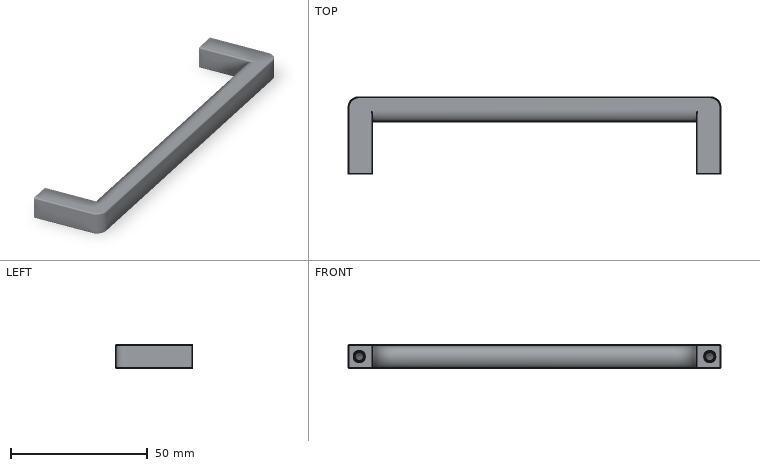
import cadquery as cq
import math

length = 136.0
depth = 28.0
height = 8.5
leg_width = 8.8
corner_radius = 4.0
edge_radius = 0.5

grip_radius = height / 2
grip_flat_depth = 4.8
inner_span = length - 2 * leg_width

hole_spacing = 128.0
hole_diameter = 3.3
hole_depth = 10.9
countersink_diameter = 4.2
drill_point_angle = 118
countersink_angle = 90

back_y = depth / 2
front_y = -depth / 2
grip_axis_y = back_y - grip_flat_depth


def make_frame():
    """U-shaped body with rounded back corners and a rounded outer rim."""
    block = cq.Workplane("XY").box(length, depth, height)
    block = block.edges("|Z and >Y").fillet(corner_radius)

    rim = block.faces("<Z or >Z").edges("not <Y")
    block = rim.fillet(edge_radius)

    opening_depth = depth - grip_flat_depth
    opening = cq.Workplane("XY").box(inner_span, opening_depth, height)
    frame = block.cut(opening.translate((0, front_y + opening_depth / 2, 0)))

    inner_leg_region = cq.selectors.BoxSelector(
        (-inner_span / 2 - edge_radius, front_y, -height),
        (inner_span / 2 + edge_radius, grip_axis_y, height),
    )
    return frame.edges("|Y").edges(inner_leg_region).fillet(edge_radius)


def make_round_front():
    """Half cylinder filling out the flat back, run into the legs past their rounded edges."""
    bar_length = inner_span + 2 * edge_radius
    cylinder = cq.Workplane("YZ").circle(grip_radius).extrude(bar_length / 2, both=True)
    front_half = cq.Workplane("XY").box(bar_length, height, height)
    front_half = front_half.translate((0, -height / 2, 0))
    return cylinder.intersect(front_half).translate((0, grip_axis_y, 0))


def make_hole(x):
    """Countersunk blind hole with a conical drill point, entering a leg end."""
    drill_radius = hole_diameter / 2
    sink_radius = countersink_diameter / 2
    sink_depth = (sink_radius - drill_radius) / math.tan(math.radians(countersink_angle / 2))
    point_depth = drill_radius / math.tan(math.radians(drill_point_angle / 2))
    profile = (
        cq.Workplane("XY")
        .lineTo(sink_radius, 0)
        .lineTo(drill_radius, sink_depth)
        .lineTo(drill_radius, hole_depth)
        .lineTo(0, hole_depth + point_depth)
        .close()
    )
    return profile.revolve(360, (0, 0), (0, 1)).translate((x, front_y, 0))


handle = make_frame().union(make_round_front())
for side in (-1, 1):
    handle = handle.cut(make_hole(side * hole_spacing / 2))

result = handle